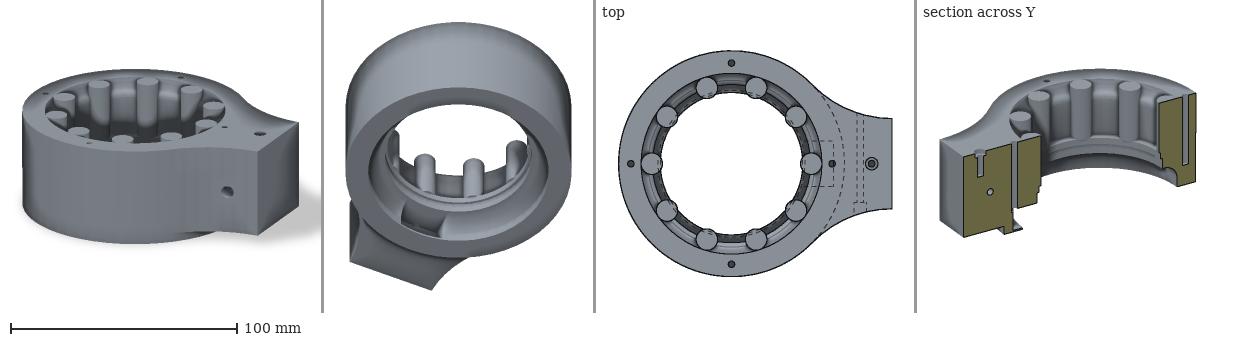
import cadquery as cq
import math

outer_radius = 50.0
body_height = 44.0

lug_end_x = 71.0
lug_half_width = 20.0
lug_bottom_z = 4.0

mouth_radius = 40.0
mouth_fillet = 5.0
shoulder_fillet = 3.0
roller_bore_radius = 35.0
ledge_top_z = 19.0
ledge_bottom_z = 16.0
ledge_radius = 31.5
lower_bore_radius = 32.5
recess_radius = 40.0
recess_height = 11.0
recess_fillet = 6.5

roller_count = 10
roller_radius = 4.75
roller_circle_radius = mouth_radius - roller_radius

screw_hole_diameter = 2.9
cover_hole_count = 4
cover_hole_circle_radius = 44.5
cover_hole_end_z = 10.0
cover_hole_depth = body_height - cover_hole_end_z

head_diameter = 5.5
top_screw_x = 62.0
top_screw_depth = 12.0
top_head_depth = 2.2
cross_screw_x = 57.0
cross_screw_z = 23.0
cross_head_depth = 5.0

slot_end_x = 45.0
slot_width = 20.0
slot_bottom_z = 1.0

flank_numerator = lug_end_x**2 + lug_half_width**2 - outer_radius**2
flank_radius = flank_numerator / (2 * (outer_radius - lug_half_width))
flank_center_y = lug_half_width + flank_radius


def flank_y(x):
    """Half width of the lug at a given x."""
    return flank_center_y - math.sqrt(flank_radius**2 - (lug_end_x - x) ** 2)


def point_toward(start, end, distance):
    """Point at a distance from start on the line toward end."""
    length = math.dist(start, end)
    return tuple(a + (b - a) * distance / length for a, b in zip(start, end))


def arc_middle(center, radius, start, end):
    """Point halfway along the arc between two points on a circle."""
    chord_middle = tuple((a + b) / 2 for a, b in zip(start, end))
    return point_toward(center, chord_middle, radius)


def make_lug():
    tangent_x, tangent_y = point_toward((0, 0), (lug_end_x, flank_center_y), outer_radius)
    middle_x = (tangent_x + lug_end_x) / 2
    middle_y = flank_y(middle_x)
    return (
        cq.Workplane("XY", origin=(0, 0, lug_bottom_z))
        .moveTo(0, tangent_y)
        .lineTo(tangent_x, tangent_y)
        .threePointArc((middle_x, middle_y), (lug_end_x, lug_half_width))
        .lineTo(lug_end_x, -lug_half_width)
        .threePointArc((middle_x, -middle_y), (tangent_x, -tangent_y))
        .lineTo(0, -tangent_y)
        .close()
        .extrude(body_height - lug_bottom_z)
    )


def make_bore():
    """Revolved cutter for the whole stepped bore; profile points are (radius, z)."""
    mouth_center = (mouth_radius - mouth_fillet, body_height)
    shoulder_center_x = roller_bore_radius + shoulder_fillet
    center_offset = shoulder_center_x - mouth_center[0]
    center_distance = mouth_fillet + shoulder_fillet
    shoulder_z = body_height - math.sqrt(center_distance**2 - center_offset**2)
    shoulder_center = (shoulder_center_x, shoulder_z)
    blend_point = point_toward(mouth_center, shoulder_center, mouth_fillet)
    bore_top = (roller_bore_radius, shoulder_z)

    mouth_edge = (mouth_radius, body_height)
    mouth_middle = arc_middle(mouth_center, mouth_fillet, mouth_edge, blend_point)
    recess_center = (recess_radius - recess_fillet, recess_height - recess_fillet)
    recess_ceiling = (recess_center[0], recess_height)
    recess_wall = (recess_radius, recess_center[1])
    recess_middle = arc_middle(recess_center, recess_fillet, recess_ceiling, recess_wall)
    shoulder_middle = arc_middle(shoulder_center, shoulder_fillet, blend_point, bore_top)
    return (
        cq.Workplane("XZ")
        .moveTo(0, body_height)
        .lineTo(*mouth_edge)
        .threePointArc(mouth_middle, blend_point)
        .threePointArc(shoulder_middle, bore_top)
        .lineTo(roller_bore_radius, ledge_top_z)
        .lineTo(ledge_radius, ledge_top_z)
        .lineTo(ledge_radius, ledge_bottom_z)
        .lineTo(lower_bore_radius, ledge_bottom_z)
        .lineTo(lower_bore_radius, recess_height)
        .lineTo(*recess_ceiling)
        .threePointArc(recess_middle, recess_wall)
        .lineTo(recess_radius, 0)
        .lineTo(0, 0)
        .close()
        .revolve(360, (0, 0, 0), (0, 1, 0))
    )


def make_slot():
    length = slot_end_x - ledge_radius
    height = recess_height - slot_bottom_z
    return cq.Workplane("XY", origin=(ledge_radius, 0, slot_bottom_z)).box(
        length, slot_width, height, centered=(False, True, False)
    )


def make_rollers():
    return (
        cq.Workplane("XY", origin=(0, 0, ledge_top_z))
        .polarArray(roller_circle_radius, 0, 360, roller_count)
        .circle(roller_radius)
        .extrude(body_height - ledge_top_z)
    )


def make_cover_holes():
    return (
        cq.Workplane("XY", origin=(0, 0, body_height))
        .polarArray(cover_hole_circle_radius, 0, 360, cover_hole_count)
        .circle(screw_hole_diameter / 2)
        .extrude(-cover_hole_depth)
    )


def make_top_screw_hole():
    top = cq.Workplane("XY", origin=(top_screw_x, 0, body_height))
    shank = top.circle(screw_hole_diameter / 2).extrude(-top_screw_depth)
    head = top.circle(head_diameter / 2).extrude(-top_head_depth)
    return shank.union(head)


def make_cross_screw_hole():
    """Through hole along Y with a head recess on the -Y flank."""
    seat_y = flank_y(cross_screw_x) - cross_head_depth
    center = cq.Workplane("XZ", origin=(cross_screw_x, 0, cross_screw_z))
    shank = center.circle(screw_hole_diameter / 2).extrude(outer_radius, both=True)
    head = center.workplane(offset=seat_y).circle(head_diameter / 2).extrude(outer_radius - seat_y)
    return shank.union(head)


ring = cq.Workplane("XY").circle(outer_radius).extrude(body_height)
result = (
    ring.union(make_lug())
    .cut(make_bore())
    .cut(make_slot())
    .union(make_rollers())
    .cut(make_cover_holes())
    .cut(make_top_screw_hole())
    .cut(make_cross_screw_hole())
)